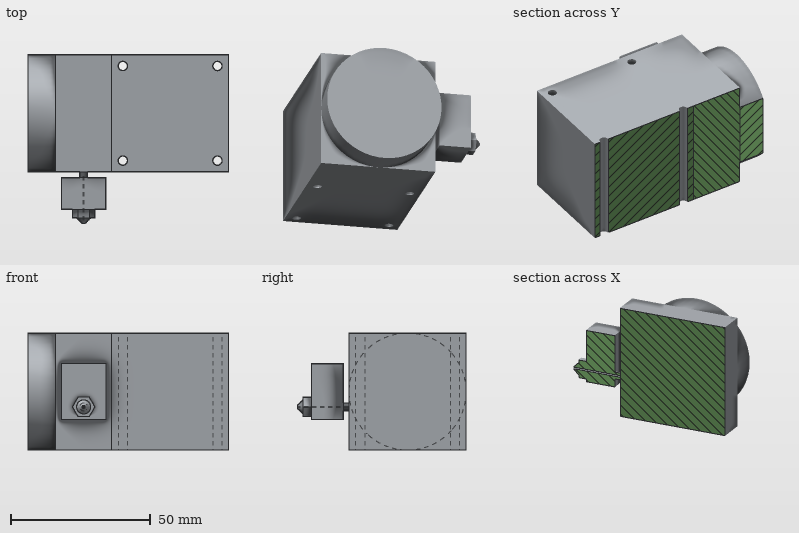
import cadquery as cq
import math

total_length = 72.0
side = 42.0
cap_length = 10.0
motor_length = side
extruder_length = total_length - cap_length - motor_length
motor_start = cap_length + extruder_length
half_side = side / 2

mount_hole_diameter = 3.25
mount_hole_inset = 4.0

heater_width = 16.0
heater_height = 20.0
heater_depth = 11.45
heater_gap = 2.0
stem_diameter = 2.8
nozzle_drop = 5.5

hex_across_flats = 7.0
hex_length = 3.0
tip_length = 2.0
tip_base_diameter = 5.05
tip_end_diameter = 1.1
bore_diameter = 0.4

hot_end_x = cap_length + extruder_length / 2
front_y = -half_side
heater_back_y = front_y - heater_gap
heater_front_y = heater_back_y - heater_depth
hex_front_y = heater_front_y - hex_length


def make_cap():
    """Round cap inscribed in the square section of the extruder block."""
    return cq.Workplane("YZ").circle(half_side).extrude(cap_length)


def make_extruder_block():
    return cq.Workplane("YZ", origin=(cap_length, 0, 0)).rect(side, side).extrude(extruder_length)


def make_motor():
    """Motor block with four corner holes right through along Z."""
    motor_centre_x = motor_start + motor_length / 2
    hole_spacing_x = motor_length - 2 * mount_hole_inset
    hole_spacing_y = side - 2 * mount_hole_inset
    body = cq.Workplane("XY", origin=(motor_centre_x, 0, -half_side)).rect(motor_length, side).extrude(side)
    holes = (
        cq.Workplane("XY", origin=(motor_centre_x, 0, -half_side))
        .rect(hole_spacing_x, hole_spacing_y, forConstruction=True)
        .vertices()
        .circle(mount_hole_diameter / 2)
        .extrude(side)
    )
    return body.cut(holes)


def nozzle_plane(y):
    """Plane facing -Y, centred on the nozzle axis."""
    return cq.Workplane("XZ", origin=(hot_end_x, y, -nozzle_drop))


def make_hot_end():
    """Stem, heater block, hexagon and conical nozzle tip in one piece, with a bore right through."""
    stem = nozzle_plane(front_y).circle(stem_diameter / 2).extrude(heater_gap)
    heater = (
        cq.Workplane("XZ", origin=(hot_end_x, heater_back_y, 0))
        .rect(heater_width, heater_height)
        .extrude(heater_depth)
    )
    hex_across_corners = hex_across_flats / math.cos(math.pi / 6)
    hexagon = nozzle_plane(heater_front_y).polygon(6, hex_across_corners).extrude(hex_length)
    tip = (
        nozzle_plane(hex_front_y)
        .circle(tip_base_diameter / 2)
        .workplane(offset=tip_length)
        .circle(tip_end_diameter / 2)
        .loft(ruled=True)
    )
    bore_length = heater_gap + heater_depth + hex_length + tip_length
    bore = nozzle_plane(front_y).circle(bore_diameter / 2).extrude(bore_length)
    return heater.union(stem).union(hexagon).union(tip).cut(bore)


cap = make_cap()
extruder_block = make_extruder_block()
motor = make_motor()
hot_end = make_hot_end()

result = cq.Compound.makeCompound([cap.val(), extruder_block.val(), motor.val(), hot_end.val()])